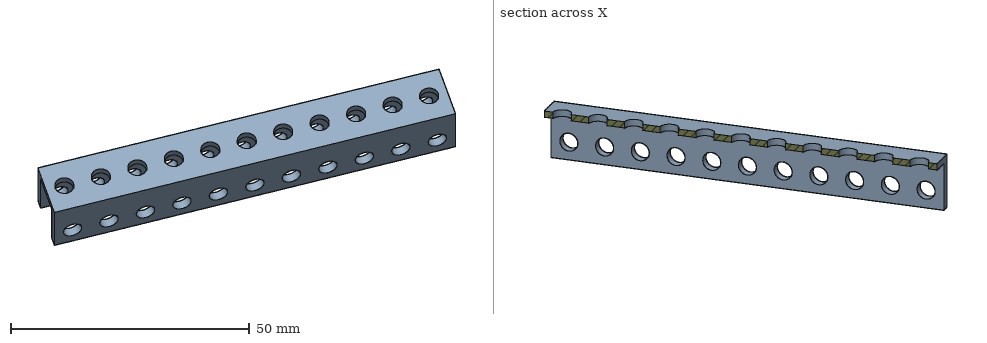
import cadquery as cq

width = 12.0
height = 12.0
flange_thickness = 2.0
web_thickness = 1.5
hole_diameter = 4.0
hole_pitch = 8.0
hole_count = 11

length = hole_count * hole_pitch
hole_radius = hole_diameter / 2
side_hole_height = hole_pitch / 2
first_hole_y = (hole_pitch - length) / 2
hole_positions = [first_hole_y + i * hole_pitch for i in range(hole_count)]


def make_channel():
    """U-channel along Y, open downwards, with its flange edges at Z = 0."""
    body = cq.Workplane("XY").box(width, length, height, centered=(True, True, False))
    cavity_width = width - 2 * flange_thickness
    cavity_height = height - web_thickness
    cavity = cq.Workplane("XY").box(cavity_width, length, cavity_height, centered=(True, True, False))
    return body.cut(cavity)


def make_web_holes():
    """Vertical cylinders that pierce the web on its centre line."""
    points = [(0, y) for y in hole_positions]
    return cq.Workplane("XY").pushPoints(points).circle(hole_radius).extrude(height)


def make_flange_holes():
    """Horizontal cylinders that pierce both flanges."""
    points = [(y, side_hole_height) for y in hole_positions]
    sketch = cq.Workplane("YZ").pushPoints(points).circle(hole_radius)
    return sketch.extrude(width / 2, both=True)


result = make_channel().cut(make_web_holes()).cut(make_flange_holes())